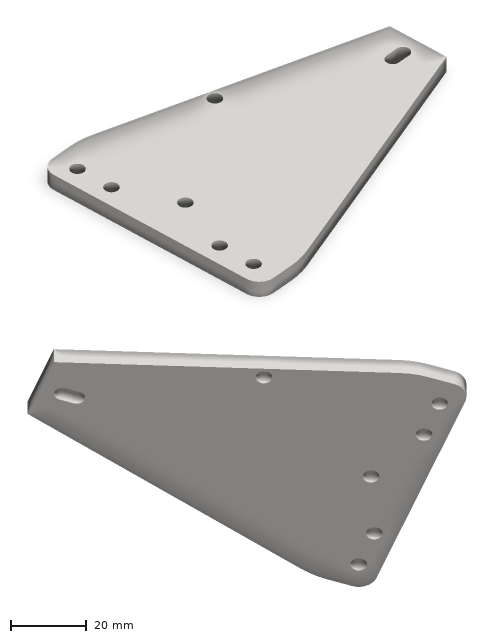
import cadquery as cq

length = 107.0
base_width = 78.0
tip_width = 20.0
thickness = 5.0
shoulder_height = 16.0
base_corner_radius = 5.0
shoulder_radius = 25.0

hole_diameter = 4.4
base_hole_height = 6.1
inner_hole_offset = 19.0
outer_hole_offset = 31.0
center_hole_height = 14.0
side_hole_position = (-24.0, 53.0)

slot_length = 8.5
slot_center_from_tip = 8.1


def make_plate():
    half_base = base_width / 2
    half_tip = tip_width / 2
    plate = (
        cq.Workplane("XY")
        .polyline([
            (-half_base, 0),
            (half_base, 0),
            (half_base, shoulder_height),
            (half_tip, length),
            (-half_tip, length),
            (-half_base, shoulder_height),
        ])
        .close()
        .extrude(thickness)
    )

    def corner_edges(height):
        corners = [(side * half_base, height, thickness / 2) for side in (-1, 1)]
        selector = cq.selectors.NearestToPointSelector(corners[0])
        return selector + cq.selectors.NearestToPointSelector(corners[1])

    plate = plate.edges("|Z").edges(corner_edges(0)).fillet(base_corner_radius)
    return plate.edges("|Z").edges(corner_edges(shoulder_height)).fillet(shoulder_radius)


def cut_holes(plate):
    positions = [(0, center_hole_height), side_hole_position]
    for offset in (inner_hole_offset, outer_hole_offset):
        positions += [(-offset, base_hole_height), (offset, base_hole_height)]
    holes = (
        cq.Workplane("XY")
        .pushPoints(positions)
        .circle(hole_diameter / 2)
        .extrude(thickness)
    )
    return plate.cut(holes)


def cut_slot(plate):
    slot = (
        cq.Workplane("XY")
        .center(0, length - slot_center_from_tip)
        .slot2D(slot_length, hole_diameter, 90)
        .extrude(thickness)
    )
    return plate.cut(slot)


result = cut_slot(cut_holes(make_plate()))